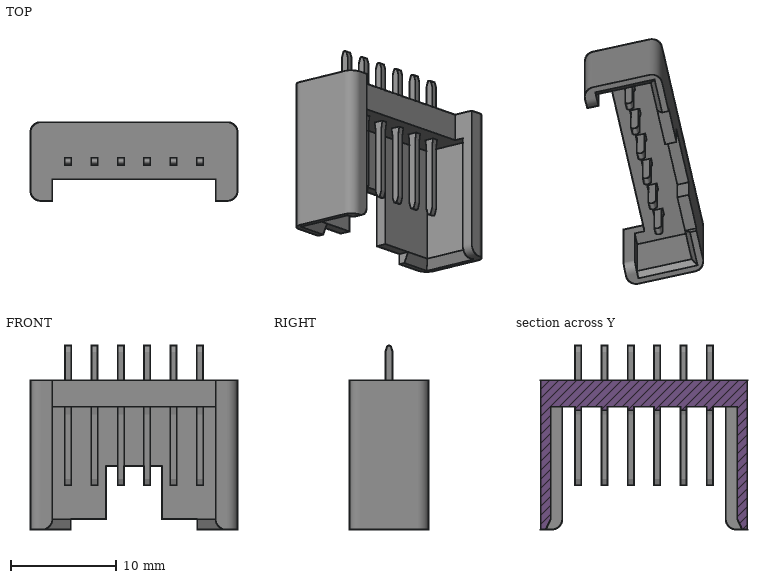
import cadquery as cq
import math

width = 19.7
depth = 7.5
housing_height = 14.2
corner_radius = 1.0

side_wall = 1.0
back_wall = 1.1
header_thickness = 2.55
header_underside = housing_height - header_thickness
lip_thickness = back_wall
cavity_width = width - 2 * side_wall
cavity_depth = depth - lip_thickness - back_wall
flare = 0.47
flare_height = 1.0

opening_width = 15.5
opening_depth = 2.05
lip_round = 1.0

wide_notch_width = 12.0
wide_notch_height = flare_height
key_notch_width = 5.3
key_notch_height = 6.03

pin_count = 6
pin_pitch = 2.5
pin_width = 0.61
pin_thickness = 0.7
pin_y = depth / 2
pin_top = 17.5
pin_bottom = 4.2
tip_height = 0.61
tip_crown_radius = 0.22
root_height = 0.73
root_step = 0.12


def block(size_x, y_start, y_end, z_start, z_end):
    """Box centred on X, spanning the given Y and Z ranges."""
    return cq.Workplane("XY").box(
        size_x, y_end - y_start, z_end - z_start, centered=(True, False, False)
    ).translate((0, y_start, z_start))


def make_cavity():
    """Straight-walled cavity with a lead-in flare at the mouth on the sides and back."""
    back = depth - back_wall
    cavity = block(cavity_width, lip_thickness, back, 0, header_underside)
    mouth = (
        cq.Workplane("XY")
        .center(0, lip_thickness + (cavity_depth + flare) / 2)
        .rect(cavity_width + 2 * flare, cavity_depth + flare)
        .workplane(offset=flare_height)
        .center(0, -flare / 2)
        .rect(cavity_width, cavity_depth)
        .loft(ruled=True)
    )
    return cavity.union(mouth)


def make_housing():
    housing = block(width, 0, depth, 0, housing_height).edges("|Z").fillet(corner_radius)
    housing = housing.cut(make_cavity())
    housing = housing.cut(block(opening_width, 0, opening_depth, 0, housing_height))

    for side in (-1, 1):
        lip_corner = (side * opening_width / 2, lip_thickness / 2, 0)
        housing = housing.edges(cq.selectors.NearestToPointSelector(lip_corner)).fillet(lip_round)

    notch_start = depth / 2
    for notch_width, notch_height in (
        (wide_notch_width, wide_notch_height),
        (key_notch_width, key_notch_height),
    ):
        housing = housing.cut(block(notch_width, notch_start, depth, 0, notch_height))
    return housing


def make_pin(x):
    """Flat pin with crowned, tapered tips that thickens where it enters the header."""
    half = pin_thickness / 2
    root_half = half + root_step

    taper_height = tip_height - tip_crown_radius
    flank_tilt = math.acos(tip_crown_radius / math.hypot(half, taper_height)) - math.atan2(taper_height, half)
    crown = tip_crown_radius * math.cos(flank_tilt)
    crown_height = tip_crown_radius * (1 - math.sin(flank_tilt))

    root_bottom = header_underside - root_height
    return (
        cq.Workplane("YZ")
        .moveTo(half, root_bottom)
        .lineTo(root_half, header_underside)
        .lineTo(half, header_underside)
        .lineTo(half, pin_top - tip_height)
        .lineTo(crown, pin_top - crown_height)
        .threePointArc((0, pin_top), (-crown, pin_top - crown_height))
        .lineTo(-half, pin_top - tip_height)
        .lineTo(-half, header_underside)
        .lineTo(-root_half, header_underside)
        .lineTo(-half, root_bottom)
        .lineTo(-half, pin_bottom + tip_height)
        .lineTo(-crown, pin_bottom + crown_height)
        .threePointArc((0, pin_bottom), (crown, pin_bottom + crown_height))
        .lineTo(half, pin_bottom + tip_height)
        .close()
        .extrude(pin_width / 2, both=True)
        .translate((x, pin_y, 0))
    )


result = make_housing()
for index in range(pin_count):
    result = result.union(make_pin((index - (pin_count - 1) / 2) * pin_pitch))